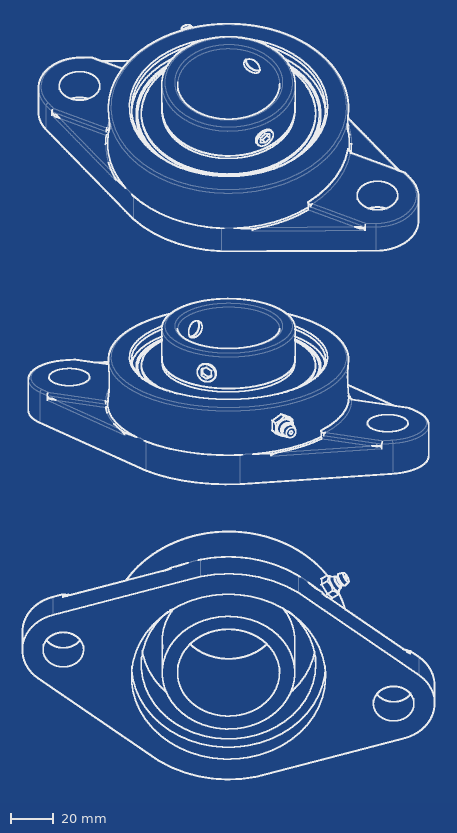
import cadquery as cq
import math

half_length = 97.5
end_radius = 20.0
end_center = half_length - end_radius
body_width = 113.0
body_radius = body_width / 2
side_start = 23.2
plate_top = 14.6
pad_top = 17.0
edge_round = (pad_top - plate_top) / 2
bolt_diameter = 19.0
bolt_offset = 78.4

drum_top = 39.0
drum_waist_radius = 55.5
drum_top_radius = 56.2
drum_round = 1.2
foot_radius = 56.2
foot_round = 1.2
bore_diameter = 90.5
bore_chamfer = 1.0

bearing_middle = 22.5
ring_face = 34.3
shield_diameter = 86.2
shield_bevel = 0.8
disc_diameter = 81.3
disc_inner_z = 35.7
disc_outer_z = 35.1
shield_rim_z = 34.1
shield_thickness = 2.0
inner_bottom = 3.5
inner_top = 55.2
collar_diameter = 62.2
neck_diameter = 61.8
collar_bottom = 37.5
shaft_diameter = 47.5
collar_round = 1.4

screw_diameter = 9.0
screw_hole_diameter = 8.4
screw_z = 45.0
screw_inner_end = 25.7
screw_outer_end = 32.0
socket_flats = 5.0
socket_depth = 2.3
screw_angles = (90, -30)

nipple_angle = 135
nipple_z = 28.0
nipple_seat = 54.6
hex_end = 59.5
hex_corners = 10.3
hex_bevel = 1.0
cone_radius = 3.9
cone_tip_diameter = 6.0
cone_end = 61.5
neck_end = 62.5
neck_radius = 2.3
bead_wide = 63.8
bead_diameter = 6.5
nipple_tip = 66.1
tip_radius = 2.5
grease_hole = 1.5
grease_hole_depth = 3.9


def ring(outer_radius, inner_radius, bottom, top):
    """Plain upright ring between two heights."""
    return (
        cq.Workplane("XY").workplane(offset=bottom)
        .circle(outer_radius).circle(inner_radius).extrude(top - bottom)
    )


def radial_plane(angle, distance, height):
    """Plane at a distance from the bearing axis, facing outward; its local Y is vertical."""
    turn = math.radians(angle)
    out = (math.cos(turn), math.sin(turn), 0)
    sideways = (-math.sin(turn), math.cos(turn), 0)
    origin = (distance * out[0], distance * out[1], height)
    return cq.Plane(origin=origin, xDir=sideways, normal=out)


def outline(height):
    """Rounded rhombus: central arcs, straight sides and rounded ends."""
    start_y = math.sqrt(body_radius**2 - side_start**2)
    reach = math.hypot(end_center - side_start, start_y)
    slope = math.atan2(start_y, end_center - side_start) - math.asin(end_radius / reach)
    end_x = end_center + end_radius * math.sin(slope)
    end_y = end_radius * math.cos(slope)
    return (
        cq.Workplane("XY")
        .moveTo(-side_start, start_y)
        .threePointArc((0, body_radius), (side_start, start_y))
        .lineTo(end_x, end_y)
        .threePointArc((half_length, 0), (end_x, -end_y))
        .lineTo(side_start, -start_y)
        .threePointArc((0, -body_radius), (-side_start, -start_y))
        .lineTo(-end_x, -end_y)
        .threePointArc((-half_length, 0), (-end_x, end_y))
        .close()
        .extrude(height)
    )


def make_pads():
    """Raised pads along the long axis, with rounded edges and hollow feet on the plate."""
    flat = end_radius - edge_round
    foot = end_radius + edge_round
    middle_z = plate_top + edge_round
    bend = edge_round * math.sqrt(0.5)
    profile = (
        cq.Workplane("YZ").workplane(offset=-half_length)
        .moveTo(-end_radius, 0)
        .lineTo(-end_radius, plate_top)
        .lineTo(-foot, plate_top)
        .threePointArc((-foot + bend, middle_z - bend), (-end_radius, middle_z))
        .threePointArc((-flat - bend, middle_z + bend), (-flat, pad_top))
        .lineTo(flat, pad_top)
        .threePointArc((flat + bend, middle_z + bend), (end_radius, middle_z))
        .threePointArc((foot - bend, middle_z - bend), (foot, plate_top))
        .lineTo(end_radius, plate_top)
        .lineTo(end_radius, 0)
        .close()
        .extrude(2 * half_length)
    )
    rounded_ends = outline(pad_top).faces(">Z").edges().fillet(edge_round)
    return profile.intersect(rounded_ends)


def make_foot(floor):
    """Hollow fillet round the foot of the drum, standing on a floor height."""
    outer = foot_radius + foot_round
    bend = foot_round * math.sqrt(0.5)
    return (
        cq.Workplane("XZ")
        .moveTo(bore_diameter / 2, floor - foot_round)
        .lineTo(outer, floor - foot_round)
        .lineTo(outer, floor)
        .threePointArc((outer - bend, floor + foot_round - bend), (foot_radius, floor + foot_round))
        .lineTo(bore_diameter / 2, floor + foot_round)
        .close()
        .revolve(360, (0, 0, 0), (0, 1, 0))
    )


def make_drum():
    """Drum with a slightly waisted side and a rounded top edge."""
    return (
        cq.Workplane("XZ")
        .lineTo(body_radius, 0)
        .lineTo(body_radius, plate_top)
        .threePointArc((drum_waist_radius, (plate_top + drum_top) / 2), (drum_top_radius, drum_top))
        .lineTo(0, drum_top)
        .close()
        .revolve(360, (0, 0, 0), (0, 1, 0))
        .faces(">Z").edges().fillet(drum_round)
    )


def make_housing():
    """Flange plate, pads and drum with the bearing bore and the bolt holes."""
    plate = outline(plate_top).faces(">Z").edges().fillet(edge_round)
    drum = make_drum().intersect(outline(drum_top))
    plate_foot = make_foot(plate_top).intersect(outline(drum_top))
    pad_strip = cq.Workplane("XY").box(2 * half_length, 2 * end_radius, drum_top, (True, True, False))
    pad_foot = make_foot(pad_top).intersect(pad_strip)
    body = plate.union(make_pads()).union(plate_foot).union(pad_foot).union(drum)
    body = body.cut(cq.Workplane("XY").circle(bore_diameter / 2).extrude(drum_top))
    body = body.faces(">Z").edges(cq.selectors.RadiusNthSelector(0)).chamfer(bore_chamfer)
    bolts = (
        cq.Workplane("XY").pushPoints([(-bolt_offset, 0), (bolt_offset, 0)])
        .circle(bolt_diameter / 2).extrude(pad_top)
    )
    return body.cut(bolts)


def make_shield():
    """Slightly conical disc with a lower, bevelled rim that closes the bearing."""
    bore = neck_diameter / 2
    edge = shield_diameter / 2
    return (
        cq.Workplane("XZ")
        .moveTo(bore, shield_rim_z - shield_thickness)
        .lineTo(bore, disc_inner_z)
        .lineTo(disc_diameter / 2, disc_outer_z)
        .lineTo(disc_diameter / 2, shield_rim_z)
        .lineTo(edge - shield_bevel, shield_rim_z)
        .lineTo(edge, shield_rim_z - shield_bevel)
        .lineTo(edge, shield_rim_z - shield_thickness)
        .close()
        .revolve(360, (0, 0, 0), (0, 1, 0))
    )


def make_outer_ring():
    """Outer ring with a seat for the rim of the shield."""
    body = ring(bore_diameter / 2, disc_diameter / 2, 2 * bearing_middle - ring_face, ring_face)
    seat = ring(shield_diameter / 2, disc_diameter / 2, shield_rim_z - shield_thickness, ring_face)
    return body.cut(seat)


def make_screw(angle):
    """Radial set screw with a hexagon socket."""
    length = screw_outer_end - screw_inner_end
    screw = (
        cq.Workplane(radial_plane(angle, screw_inner_end, screw_z))
        .circle(screw_diameter / 2).extrude(length)
    )
    socket = (
        cq.Workplane(radial_plane(angle, screw_outer_end, screw_z))
        .transformed(rotate=(0, 0, 90))
        .polygon(6, socket_flats / math.cos(math.pi / 6)).extrude(-socket_depth)
    )
    return screw.cut(socket)


def make_inner_ring():
    """Inner ring with a rounded collar and a radial hole for each set screw."""
    shaft = shaft_diameter / 2
    collar = ring(collar_diameter / 2, shaft, collar_bottom, inner_top)
    collar = collar.faces(">Z").edges().fillet(collar_round)
    ring_body = collar.union(ring(neck_diameter / 2, shaft, inner_bottom, collar_bottom))
    for angle in screw_angles:
        hole = (
            cq.Workplane(radial_plane(angle, 0, screw_z))
            .circle(screw_hole_diameter / 2).extrude(screw_inner_end)
        )
        seat = (
            cq.Workplane(radial_plane(angle, screw_inner_end, screw_z))
            .circle(screw_diameter / 2).extrude(screw_outer_end - screw_inner_end)
        )
        ring_body = ring_body.cut(hole).cut(seat)
    return ring_body


def make_nipple():
    """Grease nipple: bevelled hexagon, cone, neck and bead with a grease hole."""
    plane = radial_plane(nipple_angle, 0, nipple_z)
    head = (
        cq.Workplane(plane).workplane(offset=nipple_seat)
        .transformed(rotate=(0, 0, 90))
        .polygon(6, hex_corners).extrude(hex_end - nipple_seat)
    )
    bevel = (
        cq.Workplane(plane).workplane(offset=nipple_seat)
        .circle(hex_corners / 2).extrude(hex_end - nipple_seat)
        .faces(cq.selectors.DirectionMinMaxSelector(plane.zDir)).edges().chamfer(hex_bevel)
    )
    profile = (
        cq.Workplane("XZ")
        .moveTo(0, nipple_seat)
        .lineTo(cone_radius, nipple_seat)
        .lineTo(cone_radius, hex_end)
        .lineTo(cone_tip_diameter / 2, cone_end)
        .lineTo(neck_radius, cone_end)
        .lineTo(neck_radius, neck_end)
        .lineTo(bead_diameter / 2, bead_wide)
        .lineTo(tip_radius, nipple_tip)
        .lineTo(0, nipple_tip)
        .close()
        .revolve(360, (0, 0, 0), (0, 1, 0))
    )
    stem = cq.Workplane(profile.val().located(plane.location))
    hole = (
        cq.Workplane(plane).workplane(offset=nipple_tip - grease_hole_depth)
        .circle(grease_hole / 2).extrude(grease_hole_depth)
    )
    return head.intersect(bevel).union(stem).cut(hole)


nipple = make_nipple()
housing = make_housing().cut(nipple)
shield = make_shield()
outer_ring = make_outer_ring()
inner_ring = make_inner_ring()
screws = [make_screw(angle) for angle in screw_angles]

result = cq.Compound.makeCompound(
    [housing.val(), outer_ring.val(), inner_ring.val(), shield.val(), nipple.val()]
    + [screw.val() for screw in screws]
)